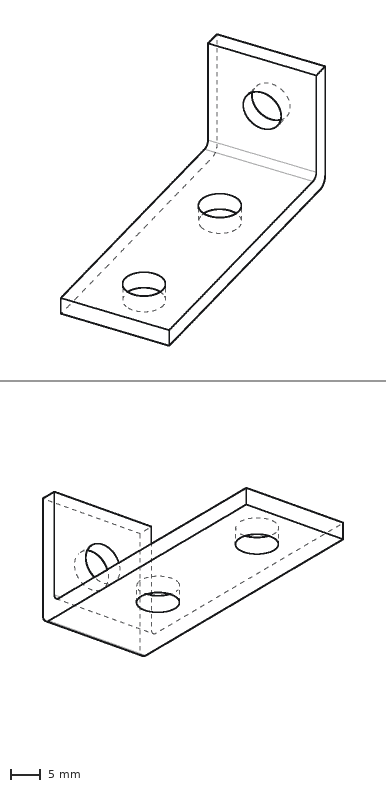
import cadquery as cq

width = 20.65
length = 55.55
height = 23.8
thickness = 3.15

inner_radius = 1.15
outer_radius = 1.7

hole_diameter = 7.2
base_hole_from_tip = 10.35
base_hole_spacing = 27.0
flange_hole_height = height - width / 2


def make_bent_strip():
    """L profile in the YZ plane, centred on X, with its base on Z = 0."""
    inner_y = length - thickness
    profile = (
        cq.Workplane("YZ")
        .lineTo(length - outer_radius, 0)
        .radiusArc((length, outer_radius), -outer_radius)
        .lineTo(length, height)
        .lineTo(inner_y, height)
        .lineTo(inner_y, thickness + inner_radius)
        .radiusArc((inner_y - inner_radius, thickness), inner_radius)
        .lineTo(0, thickness)
        .close()
    )
    return profile.extrude(width / 2, both=True)


def base_hole(y):
    """Cutter for a vertical hole through the base."""
    return cq.Workplane("XY").center(0, y).circle(hole_diameter / 2).extrude(thickness)


def flange_hole():
    """Cutter for a horizontal hole through the upright flange."""
    plane = cq.Workplane("XZ", origin=(0, length, flange_hole_height))
    return plane.circle(hole_diameter / 2).extrude(thickness)


result = make_bent_strip()
for hole_index in range(2):
    result = result.cut(base_hole(base_hole_from_tip + hole_index * base_hole_spacing))
result = result.cut(flange_hole())